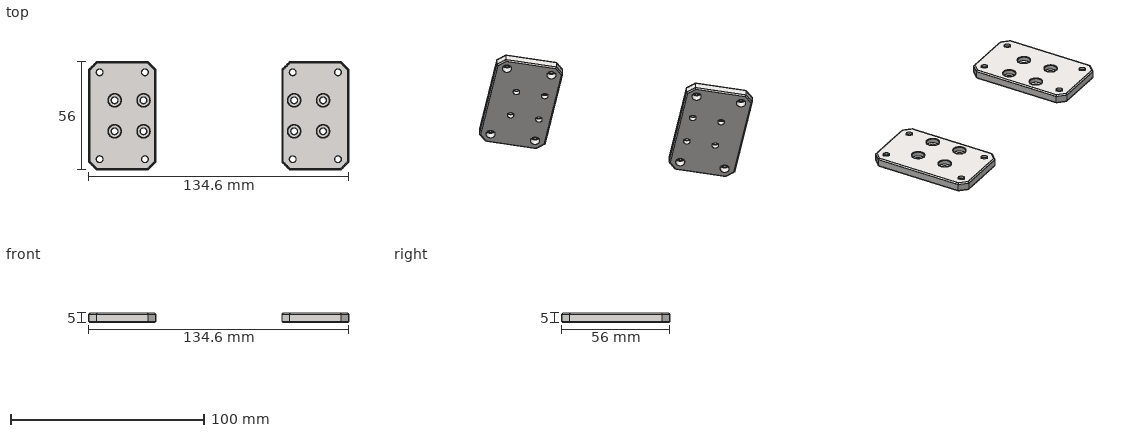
import cadquery as cq

overall_length = 134.6
plate_width = 34.7
plate_length = 56.0
plate_thickness = 5.0
plate_offset = (overall_length - plate_width) / 2

corner_cut = 4.0
edge_chamfer = 0.7

corner_hole_diameter = 3.4
corner_recess_diameter = 4.7
corner_neck_length = 1.3
corner_hole_spacing_x = 23.4
corner_hole_spacing_y = 45.0

screw_hole_diameter = 3.4
counterbore_diameter = 6.5
counterbore_depth = 2.4
counterbore_chamfer = 0.3
screw_spacing_x = 15.0
screw_spacing_y = 16.0
screw_pattern_shift = 3.5


def plate_blank():
    """Rectangle with cut corners and chamfered top and bottom edges, standing on Z = 0."""
    return (
        cq.Workplane("XY")
        .rect(plate_width, plate_length)
        .extrude(plate_thickness)
        .edges("|Z")
        .chamfer(corner_cut)
        .faces("<Z or >Z")
        .edges()
        .chamfer(edge_chamfer)
    )


def corner_cylinders(diameter, height):
    """Four upright cylinders on Z = 0, one at each corner hole."""
    return (
        cq.Workplane("XY")
        .rect(corner_hole_spacing_x, corner_hole_spacing_y, forConstruction=True)
        .vertices()
        .circle(diameter / 2)
        .extrude(height)
    )


def corner_holes():
    """Cutters for the four corner holes, each a through hole with a wider recess below."""
    through_holes = corner_cylinders(corner_hole_diameter, plate_thickness)
    recesses = corner_cylinders(corner_recess_diameter, plate_thickness - corner_neck_length)
    return through_holes.union(recesses)


def screw_hole():
    """Cutter for one screw hole: through hole, counterbore and chamfered rim, revolved about Z."""
    hole_radius = screw_hole_diameter / 2
    bore_radius = counterbore_diameter / 2
    bore_floor = plate_thickness - counterbore_depth
    return (
        cq.Workplane("XZ")
        .polyline([
            (0, 0),
            (hole_radius, 0),
            (hole_radius, bore_floor),
            (bore_radius, bore_floor),
            (bore_radius, plate_thickness - counterbore_chamfer),
            (bore_radius + counterbore_chamfer, plate_thickness),
            (0, plate_thickness),
        ])
        .close()
        .revolve(360, (0, 0, 0), (0, 1, 0))
        .val()
    )


def mounting_plate(side):
    """One plate: side is -1 for the plate at -X and +1 for the plate at +X."""
    cutter = screw_hole()
    screw_holes = (
        cq.Workplane("XY")
        .center(-side * screw_pattern_shift, 0)
        .rect(screw_spacing_x, screw_spacing_y, forConstruction=True)
        .vertices()
        .eachpoint(lambda place: cutter.moved(place))
    )
    plate = plate_blank().cut(corner_holes()).cut(screw_holes)
    return plate.translate((side * plate_offset, 0, 0))


mounting_plates = [mounting_plate(side).val() for side in (-1, 1)]

result = cq.Compound.makeCompound([*mounting_plates])